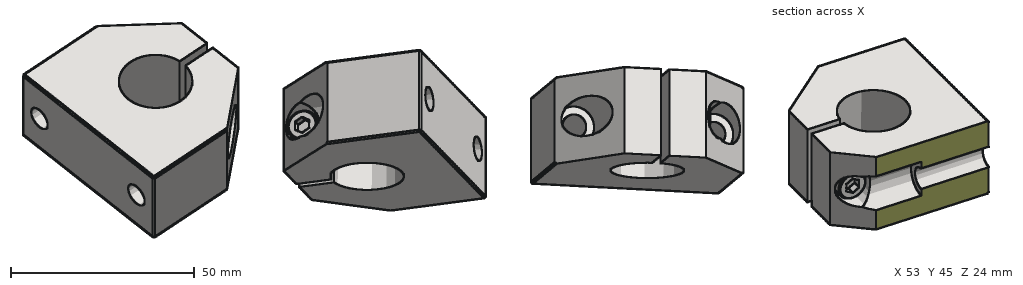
import cadquery as cq
import math

width = 53.0
depth = 45.0
height = 24.0
jaw_half_width = 11.4
shoulder_y = 26.9
edge_chamfer = 0.5

bore_diameter = 20.0
bore_y = 24.95
slot_width = 2.3

mount_spacing = 39.0
mount_diameter = 6.6
mount_head_diameter = 11.0
mount_seat_y = 21.2

screw_y = 39.0
screw_seat_x = -8.25
screw_pocket_diameter = 10.0
head_diameter = 8.5
head_length = 5.0
head_chamfer = 0.35
hex_across_flats = 4.05
hex_depth = 2.5


def cylinder(diameter, length, start, direction):
    return cq.Workplane(
        cq.Solid.makeCylinder(diameter / 2, length, cq.Vector(*start), cq.Vector(*direction))
    )


def make_block():
    half_width = width / 2
    block = (
        cq.Workplane("XY")
        .workplane(offset=-height / 2)
        .polyline([
            (-half_width, 0),
            (half_width, 0),
            (half_width, shoulder_y),
            (jaw_half_width, depth),
            (-jaw_half_width, depth),
            (-half_width, shoulder_y),
        ])
        .close()
        .extrude(height)
    )
    return block.faces("<Y or <X or >X").edges("<Y or |Y").chamfer(edge_chamfer)


def cut_bore_and_slot(body):
    bore = cylinder(bore_diameter, height, (0, bore_y, -height / 2), (0, 0, 1))
    slot_length = depth - bore_y
    slot = cq.Workplane("XY").box(slot_width, slot_length, height).translate(
        (0, bore_y + slot_length / 2, 0)
    )
    return body.cut(bore).cut(slot)


def cut_mounting_holes(body):
    for side in (-1, 1):
        x = side * mount_spacing / 2
        body = body.cut(cylinder(mount_diameter, depth, (x, 0, 0), (0, 1, 0)))
        body = body.cut(
            cylinder(mount_head_diameter, depth - mount_seat_y, (x, mount_seat_y, 0), (0, 1, 0))
        )
    return body


def make_screw_head():
    head = cylinder(head_diameter, head_length, (screw_seat_x, screw_y, 0), (-1, 0, 0))
    head = head.faces("<X").chamfer(head_chamfer)
    across_corners = hex_across_flats / math.cos(math.pi / 6)
    socket = (
        cq.Workplane("YZ", origin=(screw_seat_x - head_length, screw_y, 0))
        .transformed(rotate=(0, 0, 90))
        .polygon(6, across_corners)
        .extrude(hex_depth)
    )
    return head.cut(socket)


def add_clamp_screw(body):
    pocket_length = width / 2 + screw_seat_x
    pocket = cylinder(
        screw_pocket_diameter, pocket_length, (screw_seat_x, screw_y, 0), (-1, 0, 0)
    )
    return body.cut(pocket).union(make_screw_head())


result = make_block()
result = cut_bore_and_slot(result)
result = cut_mounting_holes(result)
result = add_clamp_screw(result)